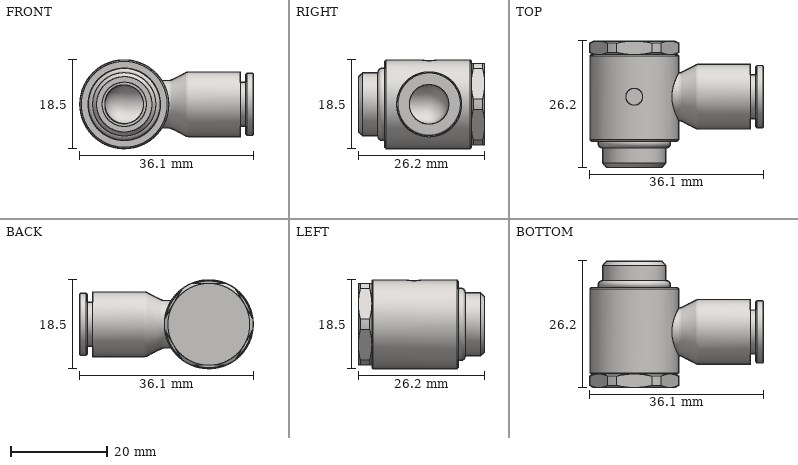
import cadquery as cq
import math


TOTAL_LENGTH_X = 36.05
TOTAL_LENGTH_Y = 26.25

BODY_RADIUS = 9.25
BODY_LENGTH = 18.0
BODY_BACK = 8.75
BODY_FRONT = BODY_BACK - BODY_LENGTH
BODY_FRONT_CHAMFER = 0.33
BODY_BACK_CHAMFER = 0.25

HEX_ACROSS_FLATS = 17.0
HEX_HEIGHT = 2.8
HEX_CHAMFER_ANGLE = math.radians(30)
HEX_SIDES = 6

SEAL_SECTION_RADIUS = 0.96
SEAL_CENTER_OFFSET = 0.46
SEAL_SECTION_Y = BODY_FRONT - SEAL_CENTER_OFFSET
STUB_RADIUS = 6.57
STUB_FRONT = BODY_BACK + HEX_HEIGHT - TOTAL_LENGTH_Y
STUB_CHAMFER_LENGTH = 0.9
STUB_TIP_RADIUS = 5.75

MOUTH_RADIUS = 4.6
MOUTH_DEPTH = 5.4
PORT_RADIUS = 4.0

NECK_RADIUS = 4.95
NECK_END = 9.55
SLEEVE_RADIUS = 6.75
SLEEVE_START = 13.07
SLEEVE_END = 24.1
FLARE_ROUNDING = 1.0
GROOVE_RADIUS = 4.6
COLLAR_RADIUS = 6.5
COLLAR_START = 25.2
BRANCH_END = TOTAL_LENGTH_X - BODY_RADIUS
COLLAR_EDGE = 0.3
BRANCH_BORE_RADIUS = 4.1

MARK_RADIUS = 1.75
MARK_DEPTH = 0.4
MARK_FLOOR = BODY_RADIUS - MARK_DEPTH


def cylinder_along_y(radius, start, end):
    return cq.Workplane("XZ", origin=(0, start, 0)).circle(radius).extrude(start - end)


def cylinder_along_x(radius, start, end):
    return cq.Workplane("YZ", origin=(start, 0, 0)).circle(radius).extrude(end - start)


def make_body():
    body = cylinder_along_y(BODY_RADIUS, BODY_FRONT, BODY_BACK)
    return body.edges("<Y").chamfer(BODY_FRONT_CHAMFER).edges(">Y").chamfer(BODY_BACK_CHAMFER)


def make_hex_head():
    """Hexagon with its corners turned down to the body radius and both ends chamfered."""
    hex_back = BODY_BACK + HEX_HEIGHT
    corner_diameter = HEX_ACROSS_FLATS / math.cos(math.pi / HEX_SIDES)
    flat_radius = HEX_ACROSS_FLATS / 2
    chamfer_length = (BODY_RADIUS - flat_radius) * math.tan(HEX_CHAMFER_ANGLE)
    hexagon = (
        cq.Workplane("XZ", origin=(0, BODY_BACK, 0))
        .polygon(HEX_SIDES, corner_diameter)
        .extrude(-HEX_HEIGHT)
    )
    turned_blank = (
        cq.Workplane("XY")
        .moveTo(0, BODY_BACK)
        .lineTo(flat_radius, BODY_BACK)
        .lineTo(BODY_RADIUS, BODY_BACK + chamfer_length)
        .lineTo(BODY_RADIUS, hex_back - chamfer_length)
        .lineTo(flat_radius, hex_back)
        .lineTo(0, hex_back)
        .close()
        .revolve(360, (0, 0, 0), (0, 1, 0))
    )
    return hexagon.intersect(turned_blank)


def seal_point(angle_degrees):
    """Point on the seal's round section, measured from its outermost point toward +Y."""
    angle = math.radians(angle_degrees)
    return (
        STUB_RADIUS + SEAL_SECTION_RADIUS * math.cos(angle),
        SEAL_SECTION_Y + SEAL_SECTION_RADIUS * math.sin(angle),
    )


def make_seal_and_stub():
    """Round-section sealing ring at the root of the stub, then the stub with its tapered tip."""
    face_angle = math.degrees(math.asin(SEAL_CENTER_OFFSET / SEAL_SECTION_RADIUS))
    return (
        cq.Workplane("XY")
        .moveTo(0, BODY_FRONT)
        .lineTo(*seal_point(face_angle))
        .threePointArc(seal_point(face_angle / 2), seal_point(0))
        .threePointArc(seal_point(-45), seal_point(-90))
        .lineTo(STUB_RADIUS, STUB_FRONT + STUB_CHAMFER_LENGTH)
        .lineTo(STUB_TIP_RADIUS, STUB_FRONT)
        .lineTo(0, STUB_FRONT)
        .close()
        .revolve(360, (0, 0, 0), (0, 1, 0))
    )


def make_branch():
    """Neck, flared sleeve, groove and release collar, turned about X."""
    sleeve = (
        cq.Workplane("XY")
        .lineTo(0, NECK_RADIUS)
        .lineTo(NECK_END, NECK_RADIUS)
        .lineTo(SLEEVE_START, SLEEVE_RADIUS)
        .lineTo(SLEEVE_END, SLEEVE_RADIUS)
        .lineTo(SLEEVE_END, 0)
        .close()
        .revolve(360, (0, 0, 0), (1, 0, 0))
    )
    flare_ends = cq.selectors.BoxSelector(
        (NECK_END - FLARE_ROUNDING, -BODY_RADIUS, -BODY_RADIUS),
        (SLEEVE_START + FLARE_ROUNDING, BODY_RADIUS, BODY_RADIUS),
    )
    sleeve = sleeve.edges("%CIRCLE").edges(flare_ends).fillet(FLARE_ROUNDING)
    groove = cylinder_along_x(GROOVE_RADIUS, SLEEVE_END, COLLAR_START)
    collar = cylinder_along_x(COLLAR_RADIUS, COLLAR_START, BRANCH_END)
    collar = collar.edges("<X").chamfer(COLLAR_EDGE).edges(">X").fillet(COLLAR_EDGE)
    return sleeve.union(groove).union(collar)


def make_passage():
    """Port along Y opening into a round-ended bore that runs out through the branch."""
    port = cylinder_along_y(PORT_RADIUS, STUB_FRONT, 0)
    mouth = cylinder_along_y(MOUTH_RADIUS, STUB_FRONT, STUB_FRONT + MOUTH_DEPTH)
    bore = cylinder_along_x(BRANCH_BORE_RADIUS, 0, BRANCH_END)
    bore_end = cq.Workplane("XY").sphere(BRANCH_BORE_RADIUS)
    return port.union(mouth).union(bore).union(bore_end)


def make_mark_recess():
    return (
        cq.Workplane("XY", origin=(0, 0, MARK_FLOOR))
        .circle(MARK_RADIUS)
        .extrude(MARK_DEPTH)
    )


result = (
    make_body()
    .union(make_hex_head())
    .union(make_seal_and_stub())
    .union(make_branch())
    .cut(make_passage())
    .cut(make_mark_recess())
)